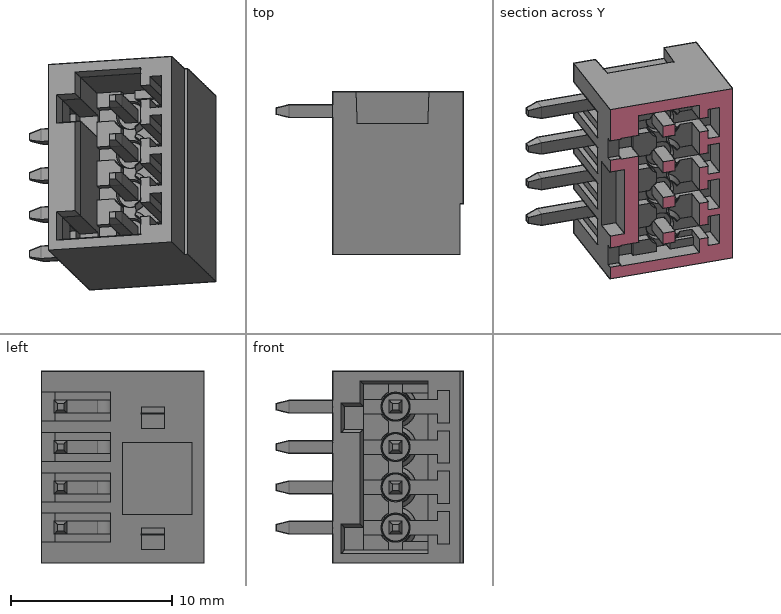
import cadquery as cq


BODY_X = 8.1
BODY_Y = 10.1
BODY_Z = 11.9
STEP_X = 0.2
STEP_Y = 3.15

PIN_COUNT = 4
PITCH = 2.5
PIN_SIZE = 0.8
PIN_TIP = 0.4
PIN_TAPER = 0.8
PIN_X = 3.9
PIN_FRONT_Y = 0.8
TAIL_Y = 8.9
TAIL_LENGTH = 3.5
PIN_ROWS = [BODY_Z / 2 + (i - (PIN_COUNT - 1) / 2) * PITCH for i in range(PIN_COUNT)]

WALL_Z = 0.6
CAVITY_X0 = 1.7
CAVITY_X1 = 5.9
CAVITY_DEPTH = 4.6
LEAD_IN = 0.2
LEAD_IN_DEPTH = 0.6

KEY_X = 0.53
KEY_HEIGHT = 1.82
KEY_DEPTH = 4.9
KEY_LOW_Z = WALL_Z + KEY_HEIGHT / 2
KEY_ROWS = [KEY_LOW_Z, KEY_LOW_Z + (PIN_COUNT - 1) * PITCH]

STEM_HEIGHT = 0.9
HEAD_HEIGHT = 2.0
HEAD_X0 = 6.5
HEAD_X1 = 7.23
GROOVE_WIDTH = 0.88
GROOVE_DEPTH = 5.2

COUNTERBORE_R = 0.99
SOCKET_R_START = 0.9
SOCKET_R_END = 0.83
SOCKET_END_Y = 5.5
COLLAR_R_FLOOR = 1.03
COLLAR_R_BASE = 1.3
RELIEF_END_Y = 4.9
RELIEF_MARGIN_Z = 1.35

TAIL_SLOT_HEIGHT = 1.8
TAIL_SLOT_DEPTH = 0.35
TAIL_SLOT_Y = 5.8
TAIL_FILLET = 0.82
BACK_SLOT_Y = 9.26

WINDOW_Y0 = 2.47
WINDOW_Y1 = 3.9
WINDOW_HEIGHT = 1.32
PANEL_Y0 = 0.77
PANEL_Y1 = 5.07
PANEL_HEIGHT = 4.46
PANEL_DEPTH = 0.95

RECESS_X0 = 1.45
RECESS_X1 = 5.97
RECESS_TAPER = 0.07
RECESS_LENGTH = 1.97
RECESS_DEPTH = 0.75


def box(x0, x1, y0, y1, z0, z1):
    return cq.Workplane("XY").box(x1 - x0, y1 - y0, z1 - z0, centered=False).translate((x0, y0, z0))


def row_box(x0, x1, y0, y1, z, height):
    """Box centred on height z."""
    return box(x0, x1, y0, y1, z - height / 2, z + height / 2)


def cone(y0, y1, r0, r1, z):
    """Frustum along +Y on a pin axis."""
    axis_point = cq.Vector(PIN_X, y0, z)
    return cq.Workplane(cq.Solid.makeCone(r0, r1, y1 - y0, axis_point, cq.Vector(0, 1, 0)))


def taper(start, direction):
    """Pyramidal pin end: full section at start, pin tip PIN_TAPER further along direction."""
    plane = cq.Plane(origin=start, xDir=(0, 0, 1), normal=direction)
    return (
        cq.Workplane(plane)
        .rect(PIN_SIZE, PIN_SIZE)
        .workplane(offset=PIN_TAPER)
        .rect(PIN_TIP, PIN_TIP)
        .loft(ruled=True)
    )


def pin(z):
    half = PIN_SIZE / 2
    mate_y = PIN_FRONT_Y + PIN_TAPER
    tail_x = PIN_TAPER - TAIL_LENGTH
    mating_leg = row_box(PIN_X - half, PIN_X + half, mate_y, TAIL_Y + half, z, PIN_SIZE)
    tail_leg = row_box(tail_x, PIN_X + half, TAIL_Y - half, TAIL_Y + half, z, PIN_SIZE)
    return (
        mating_leg.union(tail_leg)
        .union(taper((PIN_X, mate_y, z), (0, -1, 0)))
        .union(taper((tail_x, TAIL_Y, z), (-1, 0, 0)))
    )


def mouth_wire(y, inset):
    """Cavity outline with its keyways; the +X side stays straight."""
    left = CAVITY_X0 + inset
    key_left = KEY_X + inset
    bottom = WALL_Z + inset
    top = BODY_Z - WALL_Z - inset
    half_key = KEY_HEIGHT / 2 - inset
    low_key, high_key = KEY_ROWS
    outline = [
        (key_left, bottom),
        (CAVITY_X1, bottom),
        (CAVITY_X1, top),
        (left, top),
        (left, high_key + half_key),
        (key_left, high_key + half_key),
        (key_left, high_key - half_key),
        (left, high_key - half_key),
        (left, low_key + half_key),
        (key_left, low_key + half_key),
    ]
    return cq.Wire.makePolygon([cq.Vector(x, y, z) for x, z in outline], close=True)


def mating_cavity():
    lead_in = cq.Solid.makeLoft([mouth_wire(0, 0), mouth_wire(LEAD_IN_DEPTH, LEAD_IN)], True)
    left = CAVITY_X0 + LEAD_IN
    bottom = WALL_Z + LEAD_IN
    cavity = box(left, CAVITY_X1, LEAD_IN_DEPTH, CAVITY_DEPTH, bottom, BODY_Z - bottom)
    cavity = cavity.union(cq.Workplane(lead_in))
    for z in KEY_ROWS:
        key_height = KEY_HEIGHT - 2 * LEAD_IN
        cavity = cavity.union(row_box(KEY_X + LEAD_IN, left, LEAD_IN_DEPTH, KEY_DEPTH, z, key_height))
    return cavity


def relief_pocket():
    """Pocket on the +X side of the cavity floor, leaving a conical collar round each socket."""
    x0 = PIN_X + GROOVE_WIDTH / 2
    pocket = box(x0, CAVITY_X1, CAVITY_DEPTH, RELIEF_END_Y, RELIEF_MARGIN_Z, BODY_Z - RELIEF_MARGIN_Z)
    for z in PIN_ROWS:
        pocket = pocket.cut(cone(CAVITY_DEPTH, RELIEF_END_Y, COLLAR_R_FLOOR, COLLAR_R_BASE, z))
    return pocket


def floor_groove():
    """Groove along Z joining all the sockets."""
    x0 = PIN_X - GROOVE_WIDTH / 2
    bottom = WALL_Z + LEAD_IN
    return box(x0, x0 + GROOVE_WIDTH, CAVITY_DEPTH, GROOVE_DEPTH, bottom, BODY_Z - bottom)


def t_slot(z):
    stem = row_box(CAVITY_X0 + LEAD_IN, HEAD_X1, LEAD_IN_DEPTH, GROOVE_DEPTH, z, STEM_HEIGHT)
    mouth_stem = row_box(CAVITY_X1, HEAD_X1, 0, LEAD_IN_DEPTH, z, STEM_HEIGHT)
    head = row_box(HEAD_X0, HEAD_X1, 0, GROOVE_DEPTH, z, HEAD_HEIGHT)
    return stem.union(mouth_stem).union(head)


def socket(z):
    """Counterbore down to groove level, then a slightly tapered socket around the pin."""
    counterbore = (
        cq.Workplane("XZ", origin=(PIN_X, CAVITY_DEPTH, z))
        .circle(COUNTERBORE_R)
        .extrude(CAVITY_DEPTH - GROOVE_DEPTH)
    )
    return counterbore.union(cone(GROOVE_DEPTH, SOCKET_END_Y, SOCKET_R_START, SOCKET_R_END, z))


def tail_slot(z):
    """Shallow slot with a pin-wide groove down to the mating leg, opening out at the back."""
    groove_floor = PIN_X - PIN_SIZE / 2
    back_floor = PIN_X + PIN_SIZE / 2
    shallow = row_box(0, TAIL_SLOT_DEPTH, TAIL_SLOT_Y, BODY_Y, z, TAIL_SLOT_HEIGHT)
    groove = row_box(0, groove_floor, TAIL_SLOT_Y, BODY_Y, z, PIN_SIZE)
    groove = groove.edges("|Z and >X and <Y").fillet(TAIL_FILLET)
    back = row_box(0, back_floor, BACK_SLOT_Y, BODY_Y, z, TAIL_SLOT_HEIGHT)
    return shallow.union(groove).union(back)


def window(z):
    return row_box(0, KEY_X + LEAD_IN, WINDOW_Y0, WINDOW_Y1, z, WINDOW_HEIGHT)


def panel():
    return row_box(0, PANEL_DEPTH, PANEL_Y0, PANEL_Y1, sum(KEY_ROWS) / 2, PANEL_HEIGHT)


def top_recess():
    front_y = BODY_Y - RECESS_LENGTH
    plan = [
        (RECESS_X0, BODY_Y),
        (RECESS_X0 + RECESS_TAPER, front_y),
        (RECESS_X1 - RECESS_TAPER, front_y),
        (RECESS_X1, BODY_Y),
    ]
    floor = cq.Workplane("XY").workplane(offset=BODY_Z - RECESS_DEPTH)
    return floor.polyline(plan).close().extrude(RECESS_DEPTH)


def housing():
    body = box(0, BODY_X, 0, BODY_Y, 0, BODY_Z)
    body = body.cut(box(BODY_X - STEP_X, BODY_X, 0, STEP_Y, 0, BODY_Z))
    body = body.cut(mating_cavity()).cut(relief_pocket()).cut(floor_groove())
    body = body.cut(panel()).cut(top_recess())
    for z in KEY_ROWS:
        body = body.cut(window(z))
    for z in PIN_ROWS:
        body = body.cut(t_slot(z)).cut(socket(z)).cut(tail_slot(z))
    return body


result = housing()
for row_z in PIN_ROWS:
    result = result.union(pin(row_z))